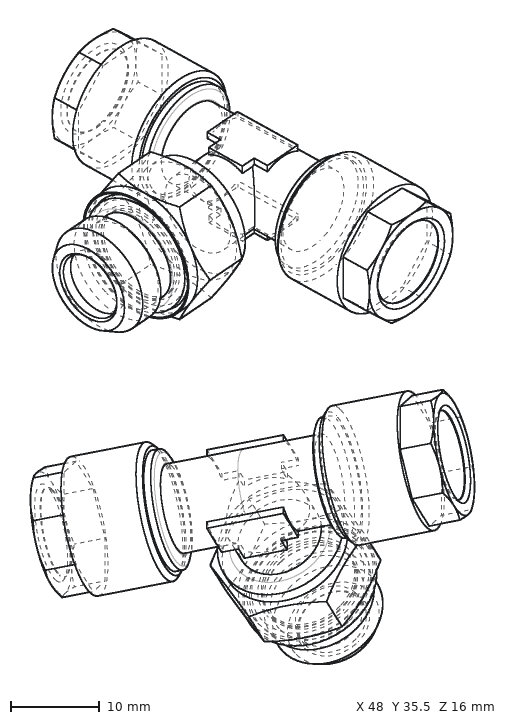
import cadquery as cq
import math

overall_length = 48.0
overall_depth = 35.55

run_radius = 5.15
run_shoulder = [(9.15, 5.35), (9.45, 6.55), (9.7, 6.95)]

nut_radius = overall_length / 6
nut_start = 10.5
nut_chamfer = 0.6
nut_round_end = 20.0
octagon_sides = 8
octagon_across_flats = 14.0
octagon_chamfer_height = 0.35
nut_bore_radius = 5.15
nut_bore_depth = 0.6
nut_bore_chamfer = 0.5

branch_radius = 5.0
collar_start = 9.2
collar_start_radius = 6.0
collar_edge = 9.5
collar_radius = 7.5
hexagon_sides = 6
hexagon_start = 11.05
hexagon_end = 18.1
hexagon_bevel = math.radians(30)
hexagon_across_flats = 2 * nut_radius
washer_radius = nut_radius
washer_end = 19.6
neck_radius = 5.55
neck_end = 22.05
thread_start = 22.7
thread_end = 25.75
thread_radius = 6.6
branch_end = overall_depth - nut_radius
tip_radius = 5.45
seal_ring_radius = 0.8
seal_ring_inner_radius = 5.5
seal_recess_mouth_radius = 7.8
seal_recess_floor_radius = 7.3
seal_recess_depth = 0.7
branch_bore_radius = 4.05
branch_bore_depth = 1.5
branch_bore_chamfer = 0.3

pad_height = 5.35
pad_half_width = 4.55
pad_half_depth = 2.55
pad_stem_half_width = 2.55
pad_stem_end = -4.5


def turn(profile):
    """Revolve (station, radius) points about X, closing the profile on the axis."""
    first_station = profile[0][0]
    last_station = profile[-1][0]
    outline = [(first_station, 0), *profile, (last_station, 0)]
    return cq.Workplane("XY").polyline(outline).close().revolve(360, (0, 0, 0), (1, 0, 0))


def prism(sides, across_flats, start, end):
    """Regular prism along X with two flats parallel to the XY plane."""
    corner_diameter = across_flats / math.cos(math.pi / sides)
    blank = cq.Workplane("YZ", origin=(start, 0, 0)).polygon(sides, corner_diameter).extrude(end - start)
    if sides % 4 == 0:
        blank = blank.rotate((0, 0, 0), (1, 0, 0), 180 / sides)
    return blank


def blind_bore(end, radius, depth, chamfer):
    """Cutter for a flat-bottomed bore with a chamfered mouth, entering from station end."""
    return turn([
        (end - depth, radius),
        (end - chamfer, radius),
        (end, radius + chamfer),
    ])


def run_half():
    """Half of the run along +X: tube, shoulder and union nut."""
    tube = turn([(0, run_radius), (nut_start, run_radius)])
    shoulder = turn([*run_shoulder, (nut_start, run_shoulder[-1][1])])
    nut_body = turn([
        (nut_start, nut_radius - nut_chamfer),
        (nut_start + nut_chamfer, nut_radius),
        (nut_round_end, nut_radius),
    ])
    end = overall_length / 2
    flat_radius = octagon_across_flats / 2
    corner_radius = flat_radius / math.cos(math.pi / octagon_sides)
    bevelled_envelope = turn([
        (nut_round_end, corner_radius),
        (end - octagon_chamfer_height, corner_radius),
        (end, flat_radius),
    ])
    octagon = prism(octagon_sides, octagon_across_flats, nut_round_end, end).intersect(bevelled_envelope)
    bore = blind_bore(end, nut_bore_radius, nut_bore_depth, nut_bore_chamfer)
    return tube.union(shoulder).union(nut_body).union(octagon).cut(bore)


def branch():
    """Threaded branch, built along +X."""
    body = turn([
        (0, branch_radius),
        (collar_start, branch_radius),
        (collar_start, collar_start_radius),
        (collar_edge, collar_radius),
        (hexagon_end, collar_radius),
        (hexagon_end, washer_radius),
        (washer_end, washer_radius),
        (washer_end, seal_recess_mouth_radius),
        (washer_end - seal_recess_depth, seal_recess_floor_radius),
        (washer_end - seal_recess_depth, neck_radius),
        (neck_end, neck_radius),
        (thread_start, thread_radius),
        (thread_end, thread_radius),
        (branch_end, tip_radius),
    ])
    corner_radius = hexagon_across_flats / 2 / math.cos(math.pi / hexagon_sides)
    bevel_slope = math.tan(hexagon_bevel)
    bevelled_envelope = turn([
        (hexagon_start, collar_radius),
        (hexagon_start + (corner_radius - collar_radius) * bevel_slope, corner_radius),
        (hexagon_end - (corner_radius - washer_radius) * bevel_slope, corner_radius),
        (hexagon_end, washer_radius),
    ])
    hexagon = prism(hexagon_sides, hexagon_across_flats, hexagon_start, hexagon_end)
    hexagon = hexagon.intersect(bevelled_envelope)
    seal_ring_centre_radius = seal_ring_inner_radius + seal_ring_radius
    seal_ring = (
        cq.Workplane("XY", origin=(washer_end, 0, 0))
        .moveTo(0, seal_ring_centre_radius)
        .circle(seal_ring_radius)
        .revolve(360, (0, 0, 0), (1, 0, 0))
    )
    bore = blind_bore(branch_end, branch_bore_radius, branch_bore_depth, branch_bore_chamfer)
    return body.union(hexagon).union(seal_ring).cut(bore)


def crossing_pad():
    """T-shaped block through the crossing, flat on top and bottom."""
    half_outline = [
        (0, pad_half_depth),
        (pad_half_width, pad_half_depth),
        (pad_half_width, -pad_half_depth),
        (pad_stem_half_width, -pad_half_depth),
        (pad_stem_half_width, pad_stem_end),
        (0, pad_stem_end),
    ]
    return cq.Workplane("XY").polyline(half_outline).mirrorY().extrude(pad_height, both=True)


right_half = run_half()
left_half = right_half.mirror("YZ")
branch_along_minus_y = branch().rotate((0, 0, 0), (0, 0, 1), -90)
result = right_half.union(left_half).union(branch_along_minus_y).union(crossing_pad())